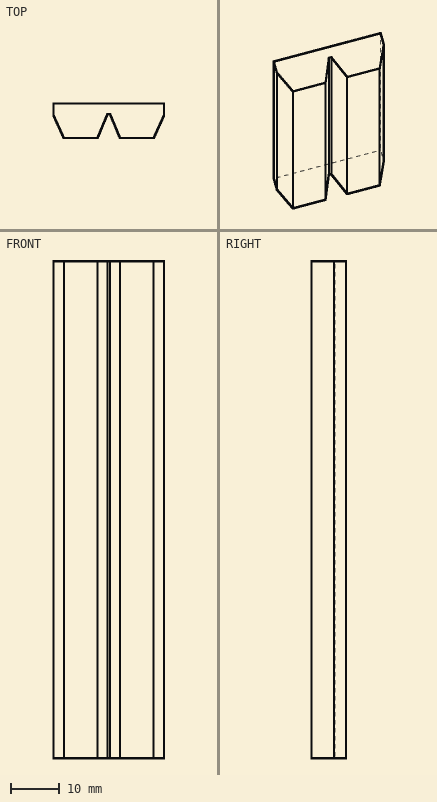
import cadquery as cq

width = 22.7
depth = 7.1
length = 101.6

backing_depth = 2.4
side_inset = 2.1
groove_mouth = 4.6
groove_floor = 0.5
groove_depth = 4.9

back_y = depth / 2
front_y = -depth / 2
shoulder_y = back_y - backing_depth
groove_floor_y = front_y + groove_depth

right_half = [
    (groove_floor / 2, groove_floor_y),
    (groove_mouth / 2, front_y),
    (width / 2 - side_inset, front_y),
    (width / 2, shoulder_y),
    (width / 2, back_y),
]
left_half = [(-x, y) for x, y in reversed(right_half)]

result = (
    cq.Workplane("XY")
    .polyline(right_half + left_half)
    .close()
    .extrude(length)
    .translate((0, 0, -length / 2))
)